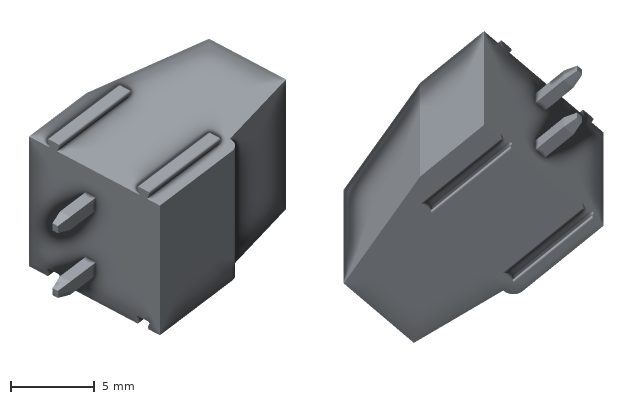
import cadquery as cq

body_width = 10.2
body_depth = 14.0
body_height = 10.0
left_slope_start = 5.35
back_left_x = 2.33
back_right_x = 8.33
shoulder_x = 9.36
shoulder_y = 7.53
shoulder_radius = 0.8

dovetail_positions = (1.9, 8.9)
dovetail_length = 6.65
dovetail_height = 0.59
dovetail_corner_radius = 0.12
ridge_width = 1.05
ridge_neck = 0.58
groove_width = 1.07
groove_neck = 0.6

pin_x = 4.8
pin_pitch = 5.0
pin_count = 2
pin_width = 0.8
pin_height = 1.0
pin_length = 3.3
pin_taper_length = 0.92
tip_width = 0.42
tip_height = 0.54


def make_body():
    """Prism with two sloping rear sides and a rounded shoulder on the right."""
    outline = (
        cq.Workplane("XY")
        .moveTo(0, 0)
        .lineTo(body_width, 0)
        .lineTo(body_width, shoulder_y - shoulder_radius)
        .radiusArc((body_width - shoulder_radius, shoulder_y), -shoulder_radius)
        .lineTo(shoulder_x, shoulder_y)
        .lineTo(back_right_x, body_depth)
        .lineTo(back_left_x, body_depth)
        .lineTo(0, left_slope_start)
        .close()
    )
    return outline.extrude(body_height)


def make_dovetail(center_x, base_z, base_width, top_width):
    """Dovetail bar running back from the front face, with rounded wide edges."""
    profile = [
        (center_x - base_width / 2, base_z),
        (center_x + base_width / 2, base_z),
        (center_x + top_width / 2, base_z + dovetail_height),
        (center_x - top_width / 2, base_z + dovetail_height),
    ]
    bar = cq.Workplane("XZ").polyline(profile).close().extrude(-dovetail_length)
    return bar.faces(">Z").edges("|Y").fillet(dovetail_corner_radius)


def cut_groove(body, center_x):
    """Cut a dovetail groove into the bottom face and round the two edges of its mouth."""
    grooved = body.cut(make_dovetail(center_x, 0, groove_neck, groove_width))
    mouth_edges = grooved.faces("<Z").edges("|Y").edges(
        cq.selectors.BoxSelector(
            (center_x - groove_width / 2, 0, -dovetail_corner_radius),
            (center_x + groove_width / 2, dovetail_length, dovetail_corner_radius),
        )
    )
    return mouth_edges.fillet(dovetail_corner_radius)


def make_pin(center_z):
    """Rectangular pin pointing toward -Y with a tapered tip."""
    straight_length = pin_length - pin_taper_length
    shank = (
        cq.Workplane("XZ", origin=(pin_x, 0, center_z))
        .rect(pin_width, pin_height)
        .extrude(straight_length)
    )
    tip = (
        cq.Workplane("XZ", origin=(pin_x, -straight_length, center_z))
        .rect(pin_width, pin_height)
        .workplane(offset=pin_taper_length)
        .rect(tip_width, tip_height)
        .loft(ruled=True)
    )
    return shank.union(tip)


result = make_body()

for x in dovetail_positions:
    result = result.union(make_dovetail(x, body_height, ridge_neck, ridge_width))
    result = cut_groove(result, x)

lowest_pin_z = (body_height - (pin_count - 1) * pin_pitch) / 2
for i in range(pin_count):
    result = result.union(make_pin(lowest_pin_z + i * pin_pitch))